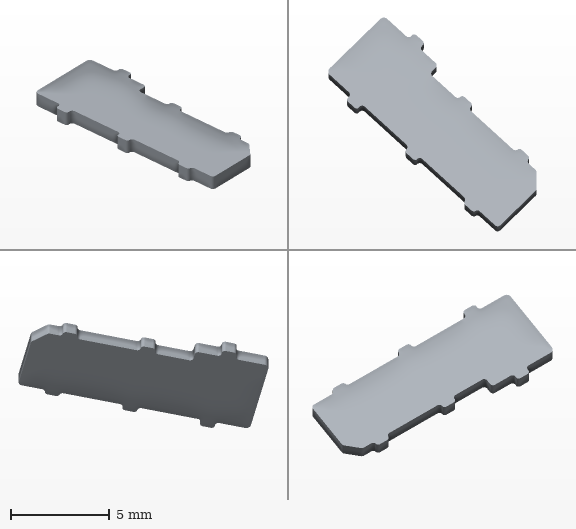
import cadquery as cq
import math

length = 12.12
half_width = 2.10
thickness = 0.76
step_x = 3.85
narrow_top_y = 1.48
corner_cut = 0.73
left_corner_radius = 0.25
edge_radius = 0.18

tab_width = 0.76
first_tab_x = 2.155
tab_pitch = 4.07
tab_heights = [(0.40, 0.40), (0.33, 0.32), (0.26, 0.29)]
tip_sweep = math.radians(68)
tab_root = 0.30

left_x = -length / 2
right_x = length / 2


def make_plate():
    """Stepped plate with one cut corner and rounded upright edges."""
    outline = [
        (left_x, -half_width),
        (right_x, -half_width),
        (right_x, narrow_top_y - corner_cut),
        (right_x - corner_cut, narrow_top_y),
        (left_x + step_x, narrow_top_y),
        (left_x + step_x, half_width),
        (left_x, half_width),
    ]
    plate = cq.Workplane("XY").polyline(outline).close().extrude(thickness)
    plate = plate.edges("|Z and <X").fillet(left_corner_radius)
    beyond_left_corners = cq.selectors.BoxSelector(
        (left_x + step_x / 2, -length, 0),
        (length, length, thickness),
    )
    return plate.edges("|Z").edges(beyond_left_corners).fillet(edge_radius)


def arc_size(sweep):
    """Extent of a tab arc along the plate side and away from it."""
    return edge_radius * math.sin(sweep), edge_radius * (1 - math.cos(sweep))


def make_tab(center_x, base_y, height, side):
    """Tab pointing to +Y (side = 1) or -Y (side = -1), rounded at foot and tip.

    The foot arc turns a quarter, or as far as the tip arc leaves room for.
    Any height left between the two arcs is a straight wall.
    """
    tip_run, tip_rise = arc_size(tip_sweep)
    foot_rise = min(edge_radius, height - tip_rise)
    foot_sweep = math.acos(1 - foot_rise / edge_radius)
    foot_run, _ = arc_size(foot_sweep)
    foot_mid_run, foot_mid_rise = arc_size(foot_sweep / 2)
    tip_mid_run, tip_mid_rise = arc_size(tip_sweep / 2)
    half_tab = tab_width / 2

    def flank(direction):
        offsets = [
            (foot_run, -tab_root),
            (foot_run, 0),
            (foot_run - foot_mid_run, foot_mid_rise),
            (0, foot_rise),
            (0, height - tip_rise),
            (tip_mid_run - tip_run, height - tip_mid_rise),
            (-tip_run, height),
        ]
        return [(center_x + direction * (half_tab + out), base_y + side * up) for out, up in offsets]

    has_wall = height - tip_rise > edge_radius

    root, foot, foot_mid, wall_start, wall_end, tip_mid, tip = flank(-1)
    tab = cq.Workplane("XY").moveTo(*root).lineTo(*foot).threePointArc(foot_mid, wall_start)
    if has_wall:
        tab = tab.lineTo(*wall_end)
    tab = tab.threePointArc(tip_mid, tip)

    root, foot, foot_mid, wall_start, wall_end, tip_mid, tip = flank(1)
    tab = tab.lineTo(*tip).threePointArc(tip_mid, wall_end)
    if has_wall:
        tab = tab.lineTo(*wall_start)
    tab = tab.threePointArc(foot_mid, foot).lineTo(*root)
    return tab.close().extrude(thickness)


result = make_plate()
for index, (lower_height, upper_height) in enumerate(tab_heights):
    tab_offset = first_tab_x + index * tab_pitch
    tab_x = left_x + tab_offset
    upper_y = half_width if tab_offset < step_x else narrow_top_y
    result = result.union(make_tab(tab_x, -half_width, lower_height, -1))
    result = result.union(make_tab(tab_x, upper_y, upper_height, 1))
result = result.clean()